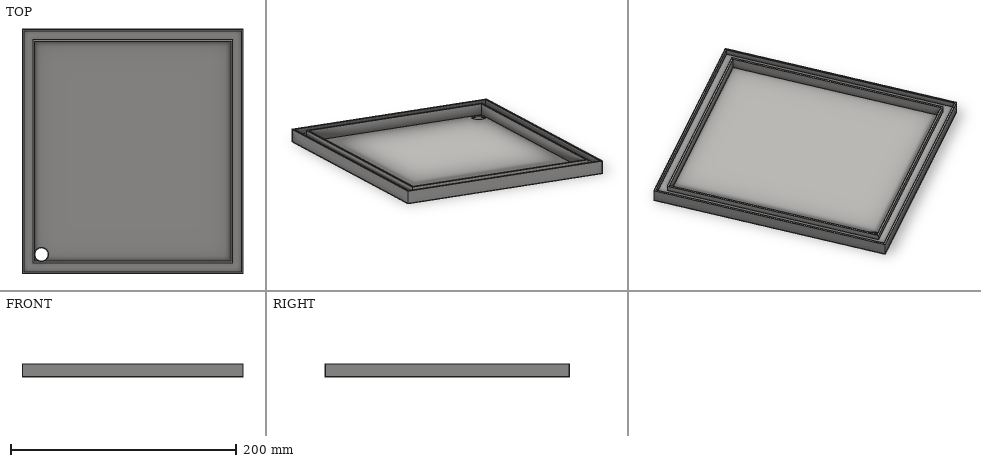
import cadquery as cq

LENGTH_X = 196.15
LENGTH_Y = 217.16
HEIGHT = 11.6

THICKNESS = 1.6

CHANNEL_WIDTH = 7.8
CHANNEL_DEPTH = 5.0

CHANNEL_OUTER_INSET = THICKNESS
RIB_OUTER_INSET = CHANNEL_OUTER_INSET + CHANNEL_WIDTH
RIB_INNER_INSET = RIB_OUTER_INSET + THICKNESS

FLOOR_TOP = THICKNESS
CHANNEL_FLOOR = HEIGHT - CHANNEL_DEPTH

HOLE_DIAMETER = 12.0


def inset_block(inset, bottom, top):
    """Rectangular block whose sides lie `inset` inside the outer faces."""
    return (
        cq.Workplane("XY")
        .workplane(offset=bottom)
        .rect(LENGTH_X - 2 * inset, LENGTH_Y - 2 * inset)
        .extrude(top - bottom)
    )


def channel():
    """Ring cutter that leaves the outer wall and the rib at full height."""
    outside = inset_block(CHANNEL_OUTER_INSET, CHANNEL_FLOOR, HEIGHT)
    inside = inset_block(RIB_OUTER_INSET, CHANNEL_FLOOR, HEIGHT)
    return outside.cut(inside)


def central_recess():
    """Cutter for the wide pocket inside the rib, down to the floor."""
    return inset_block(RIB_INNER_INSET, FLOOR_TOP, HEIGHT)


def drain_hole():
    """Through cutter for the round hole in the corner of the floor."""
    corner_inset = RIB_INNER_INSET + HOLE_DIAMETER / 2
    return (
        cq.Workplane("XY")
        .center(corner_inset - LENGTH_X / 2, corner_inset - LENGTH_Y / 2)
        .circle(HOLE_DIAMETER / 2)
        .extrude(FLOOR_TOP)
    )


tray = inset_block(0, 0, HEIGHT)
tray = tray.cut(channel())
tray = tray.cut(central_recess())
result = tray.cut(drain_hole())